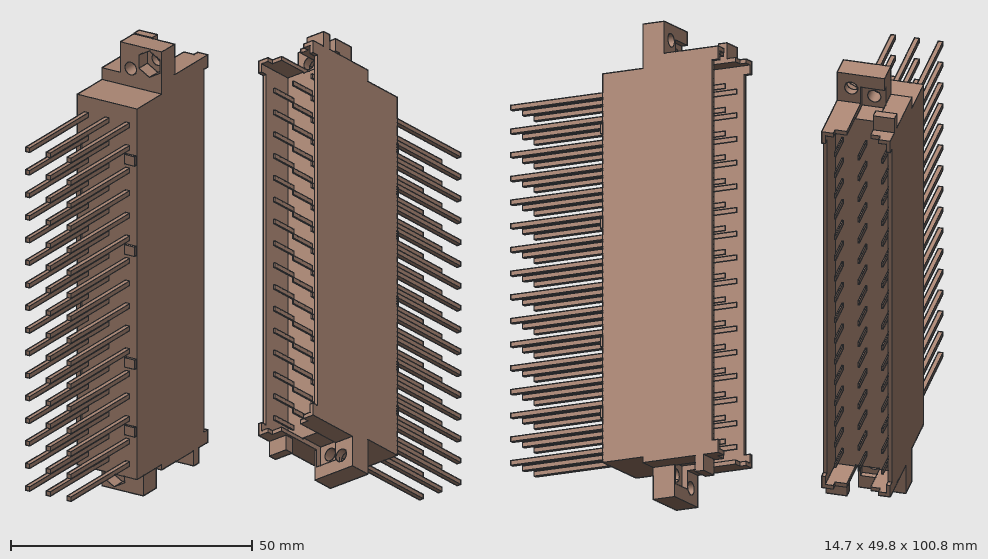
import cadquery as cq
import math

width = 14.7
half_width = width / 2
ear_tip = 50.4
end_z = 43.6
front_top = 40.9
front_bottom = -42.4
ear_front = 9.5
ear_thickness = 5.0
ear_back = ear_front + ear_thickness
wall_back = 25.8
hook_back = 27.2
hook_width = 2.5
hook_height = 2.8
ear_edge = 2.8

cavity_floor = 18.8
side_wall = 0.8
end_wall = 0.9
slot_left = -2.8
slot_right = 2.3

tongue_front = 21.8
tongue_thickness = 2.0
tongue_tip = 47.0

hole_diameter = 2.8
mount_x = (slot_left + slot_right) / 2
mount_z = 45.0
nut_x = 4.3
nut_z = 47.0
nut_flats = 5.1
nut_depth = 3.2
recess_depth = 1.3
recess_half_height = (slot_right - slot_left) / 2

pin_rows = 16
pin_span = 76.1
pitch = pin_span / (pin_rows - 1)
first_pin_z = 36.9
pin_size = 1.0
pin_length = 22.6
blade_thickness = 0.3
blade_tip = 24.9

pad_height = 2.1
pad_thickness = 0.6
pad_inset = 0.2
narrow_pad = 1.0
wide_pad = 2.4
left_pad_rows = (1.5, 3.5, 5.5, 8.5, 11.5, 13.5)
right_pad_rows = (1.5, 5.5, 10.5, 13.5)


def block(x0, x1, y0, y1, z0, z1):
    """Box between two opposite corners."""
    return cq.Workplane("XY").box(x1 - x0, y1 - y0, z1 - z0, centered=False).translate((x0, y0, z0))


def bars(places, size_x, size_z, y0, y1):
    """Rectangular bars along Y, centred on the given X and Z places."""
    return cq.Workplane("XZ", origin=(0, y1, 0)).pushPoints(places).rect(size_x, size_z).extrude(y1 - y0)


def turned(shape):
    """The same shape turned half a turn about the Y axis, for the other end."""
    return shape.rotate((0, 0, 0), (0, 1, 0), 180)


def round_hole(x, z):
    """Cutter for a hole through an ear along Y."""
    cutter = cq.Workplane("XZ", origin=(x, ear_back, z)).circle(hole_diameter / 2)
    return cutter.extrude(ear_thickness)


def nut_hole():
    """Cutter for the top screw hole with its hexagonal nut pocket, corners along Z."""
    hexagon = cq.Workplane("XZ", origin=(nut_x, ear_front + nut_depth, nut_z)).transformed(rotate=(0, 0, 90))
    pocket = hexagon.polygon(6, nut_flats / math.cos(math.pi / 6)).extrude(nut_depth)
    return pocket.union(round_hole(nut_x, nut_z))


def end_features():
    """Ear, latch tongue and hooks of the top end."""
    ear = block(-ear_edge, half_width, ear_front, ear_back, front_top, ear_tip)
    tongue_back = tongue_front + tongue_thickness
    tongue = block(-half_width, -ear_edge, tongue_front, tongue_back, front_top, tongue_tip)
    hooks = [
        block(x, x + hook_width, cavity_floor, hook_back, end_z - hook_height, end_z)
        for x in (-half_width, half_width - hook_width)
    ]
    return ear.union(tongue).union(hooks[0]).union(hooks[1])


def mount_hole(z):
    """Cutter for a mounting hole and the square clearance pocket behind it."""
    pocket = block(
        slot_left, slot_right, ear_back - recess_depth, cavity_floor,
        z - recess_half_height, z + recess_half_height,
    )
    return pocket.union(round_hole(mount_x, z))


result = block(-half_width, half_width, 0, ear_back, front_bottom, front_top)
result = result.union(block(-half_width, half_width, ear_front, wall_back, -end_z, end_z))
result = result.union(end_features()).union(turned(end_features()))
cavity_half_width = half_width - side_wall
cavity_end = end_z - end_wall
result = result.cut(
    block(-cavity_half_width, cavity_half_width, cavity_floor, hook_back, -cavity_end, cavity_end)
)
result = result.cut(block(slot_left, slot_right, cavity_floor, hook_back, -ear_tip, ear_tip))
result = result.cut(nut_hole()).cut(turned(nut_hole()))
result = result.cut(mount_hole(mount_z)).cut(mount_hole(-mount_z))

contact_places = [
    (column * pitch, first_pin_z - row * pitch)
    for column in (-1, 0, 1)
    for row in range(pin_rows)
]
result = result.union(bars(contact_places, pin_size, pin_size, -pin_length, ear_front))
result = result.union(bars(contact_places, blade_thickness, pin_size, ear_back, blade_tip))

for pad_x, pad_width, pad_rows in (
    (pad_inset + narrow_pad / 2 - half_width, narrow_pad, left_pad_rows),
    (half_width - pad_inset - wide_pad / 2, wide_pad, right_pad_rows),
):
    pad_places = [(pad_x, first_pin_z - row * pitch) for row in pad_rows]
    result = result.union(bars(pad_places, pad_width, pad_height, -pad_thickness, ear_front))